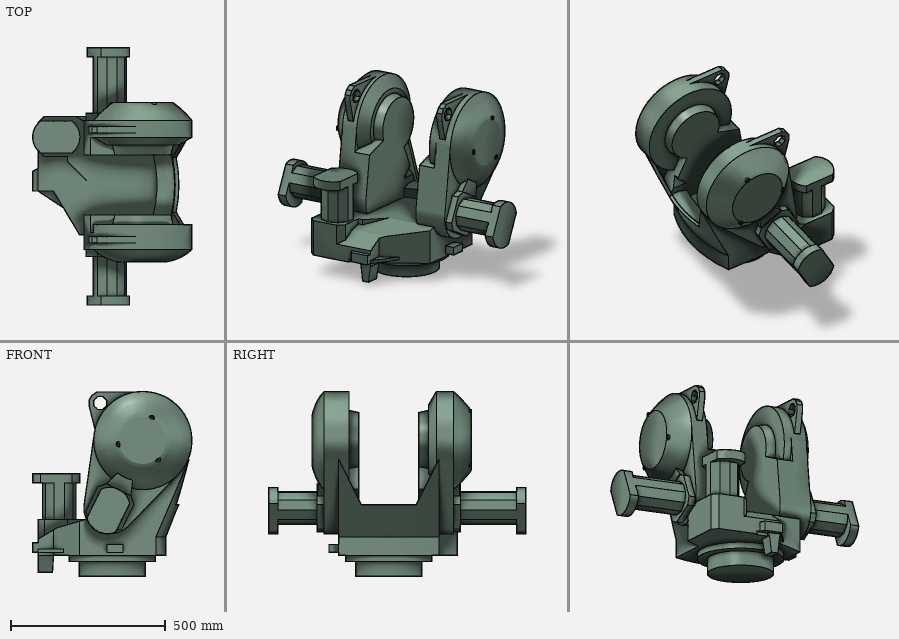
import cadquery as cq
import math


OVERALL_LENGTH = 515.81
OVERALL_HEIGHT = 598.74
BEYOND = 500.0

SPIGOT_RADIUS = 107.0
FLANGE_RADIUS = 139.5
FLANGE_BOTTOM = 48.0

BODY_BOTTOM = 68.0
BODY_TOP = 185.0
BODY_HALF_WIDTH = 162.0
BODY_LEFT = -240.0
BODY_FRONT_LEFT = -106.0
NOSE_FRONT = -20.0
NOSE_RIGHT = -190.0
NOSE_EDGE_X = -84.0
NOSE_EDGE_Y = 15.0
NOSE_BEND_X = -180.0
NOSE_BEND_Z = 157.0
NOSE_END_Z = 121.0
NOSE_STEP_Y = 75.0

BEVEL_START_X = -120.0
BEVEL_END_X = -15.0
FAR_CORNER_X = -60.0

REAR_AXIS_X = -240.0
REAR_RADIUS = 414.0
REAR_LEAN_BOTTOM = 127.0
REAR_LEAN = 0.4
REAR_WALL_TOP = 232.0
REAR_WALL_THICKNESS = 12.0
STEP_RADIUS = 385.0
STEP_TOP = 216.0
LEDGE_RADIUS = 417.0
LEDGE_TOP = 226.0
NOTCH_HALF_WIDTH = 88.5
NOTCH_SLOPE = 2.0

ARM_INNER = 97.0
ARM_STEP = 154.0
ARM_OUTER = 209.0
SHOULDER_X = -8.0
SHOULDER_Z = 222.0
SHOULDER_RADIUS = 84.0
DOME_RADIUS = 159.0
DOME_X = OVERALL_LENGTH / 2 - DOME_RADIUS
DOME_Z = OVERALL_HEIGHT - DOME_RADIUS
ARM_LENGTH = math.hypot(DOME_X - SHOULDER_X, DOME_Z - SHOULDER_Z)
ARM_ANGLE = math.degrees(math.atan2(DOME_Z - SHOULDER_Z, DOME_X - SHOULDER_X))
SHELF_ALONG = 115.0
SHELF_RUN = 80.0
REAR_SHELF_FOOT_X = 197.0
REAR_SHELF_SLOPE = 2.0
REAR_SHELF_RISE = 150.0

HUB_FACE_RADIUS = 91.0
HUB_BASE_RADIUS = 98.0
HUB_BASE = 128.5
FAR_CONE_RADIUS = 115.0
NEAR_DOME_END = 249.0
NEAR_CAP_RADIUS = 76.5
NEAR_BULGE = (126.0, 233.0)
FAR_DOME_END = 267.5
FAR_CAP_RADIUS = 96.0
FAR_BULGE = (132.0, 238.5)
SCREW_COUNT = 3
SCREW_START_ANGLE = 68.6
SCREW_OUTSET = 2.0
SCREW_BOSS_RADIUS = 8.5
SCREW_BOSS_DEPTH = 25.0
SCREW_HOLE_RADIUS = 4.0
SCREW_HOLE_DEPTH = 10.0

LUG_THICKNESS = 20.5
LUG_CENTRES = (-177.25, 178.75)
LUG_EYE_X = -39.0
LUG_EYE_Z = 561.0
LUG_EYE_SIDES = 8
LUG_EYE_HALF_WIDTH = 20.5
LUG_OUTLINE = [
    (DOME_X, DOME_Z),
    (-57, 479),
    (-75, 551),
    (-75, 571),
    (-66, 586),
    (-49, 597),
    (77, 597),
]

MOTOR_SIDES = 10
MOTOR_BODY_RADIUS = 54.4
CAP_HALF_LENGTH = 76.5
CAP_HALF_WIDTH = MOTOR_BODY_RADIUS * math.cos(math.pi / MOTOR_SIDES)
CAP_FLAT_HALF = 51.0
CAP_SHIFT = 10.0
CAP_THICKNESS = 30.0
MOUNT_HALF = 65.0
MOUNT_CHAMFER = 21.0
MOUNT_OUTER = 232.0
TAB_OUTER = 229.0
TAB_END = 118.0
TAB_END_HALF = 25.0
NEAR_MOTOR_END = 389.0
FAR_MOTOR_END = 444.0

TOWER_MOTOR_X = CAP_HALF_LENGTH + CAP_SHIFT - OVERALL_LENGTH / 2
TOWER_MOTOR_Y = 155.0
TOWER_MOTOR_TOP = 333.0
TOWER_FRONT = 92.0
TOWER_BACK = 222.0
TOWER_RIGHT = -144.0
TOWER_CHAMFER = 20.0

PLUG_LEFT = -OVERALL_LENGTH / 2
PLUG_BOTTOM = 78.0
PLUG_TOP = 109.0
PLUG_BACK = 54.0
PLUG_CHAMFER = 10.0
FIN_TIP = (-157.0, -75.0)
FIN_TOP = 88.0
RECESS_BACK = 64.0
RECESS_DEPTH = 10.0
LEG_TOP_HALF = 20.0
LEG_FOOT_HALF = 11.5
LEG_FOOT_Z = 13.0
LEG_TOP_RIGHT = -189.0
LEG_FOOT_RIGHT = -193.0
STOP_X = (-17.0, 34.0)
STOP_Z = (78.0, 104.0)
STOP_FRONT = -194.0


def plate(points, y0, y1):
    """Prism over an XZ outline, from y0 to y1."""
    return cq.Workplane("XZ", origin=(0, y0, 0)).polyline(points).close().extrude(y0 - y1)


def prism(points, z0, z1):
    """Prism over an XY outline, from z0 to z1."""
    return cq.Workplane("XY", origin=(0, 0, z0)).polyline(points).close().extrude(z1 - z0)


def disc(x, z, radius, y0, y1):
    """Cylinder along Y, from y0 to y1."""
    return cq.Workplane("XZ", origin=(x, y0, z)).circle(radius).extrude(y0 - y1)


def box(x, y, z):
    """Box from (min, max) pairs."""
    block = cq.Workplane("XY").box(x[1] - x[0], y[1] - y[0], z[1] - z[0], centered=False)
    return block.translate((x[0], y[0], z[0]))


def rear_turned(profile):
    """Solid turned from a (radius, z) outline about the rear wall axis."""
    turned = cq.Workplane("XZ").polyline(profile).close().revolve(360, (0, 0), (0, 1))
    return turned.translate((REAR_AXIS_X, 0, 0))


def rear_radius(z):
    """Radius of the leaning rear face at height z."""
    return REAR_RADIUS + REAR_LEAN * (z - REAR_LEAN_BOTTOM)


def arm_point(along, across):
    """XZ point measured along the arm axis from the shoulder, and across it to the right."""
    c = math.cos(math.radians(ARM_ANGLE))
    s = math.sin(math.radians(ARM_ANGLE))
    return (SHOULDER_X + along * c + across * s, SHOULDER_Z + along * s - across * c)


def arm_tangents():
    """Tangent points of the arm edges: shoulder left, shoulder right, dome right, dome left."""
    sine = (DOME_RADIUS - SHOULDER_RADIUS) / ARM_LENGTH
    cosine = math.sqrt(1 - sine**2)
    shoulder = (-SHOULDER_RADIUS * sine, SHOULDER_RADIUS * cosine)
    dome = (ARM_LENGTH - DOME_RADIUS * sine, DOME_RADIUS * cosine)
    return [
        arm_point(shoulder[0], -shoulder[1]),
        arm_point(*shoulder),
        arm_point(*dome),
        arm_point(dome[0], -dome[1]),
    ]


def front_shelf():
    """End points of the shelf on the arm's left edge, which runs at 45 degrees into the hub."""
    sine = (DOME_RADIUS - SHOULDER_RADIUS) / ARM_LENGTH
    across = (SHOULDER_RADIUS + sine * SHELF_ALONG) / math.sqrt(1 - sine**2)
    return arm_point(SHELF_ALONG, -across), arm_point(SHELF_ALONG + SHELF_RUN, SHELF_RUN - across)


def rear_shelf():
    """Points on the steep rear shelf line: foot on the ledge, arm edge crossing, end in the hub."""
    _, (x1, z1), (x2, z2), _ = arm_tangents()
    edge_slope = (z2 - z1) / (x2 - x1)
    crossing_rise = z1 + edge_slope * (REAR_SHELF_FOOT_X - x1) - LEDGE_TOP
    crossing_run = crossing_rise / (REAR_SHELF_SLOPE + edge_slope)
    points = []
    for run in (0, crossing_run, REAR_SHELF_RISE / REAR_SHELF_SLOPE):
        points.append((REAR_SHELF_FOOT_X - run, LEDGE_TOP + REAR_SHELF_SLOPE * run))
    return points


def base():
    spigot = cq.Workplane("XY").circle(SPIGOT_RADIUS).extrude(BODY_BOTTOM)
    flange = cq.Workplane("XY", origin=(0, 0, FLANGE_BOTTOM)).circle(FLANGE_RADIUS)
    return spigot.union(flange.extrude(BODY_BOTTOM - FLANGE_BOTTOM))


def body():
    """Body block with the rear wall and the gussets that run up behind the arms."""
    plan = [
        (BODY_FRONT_LEFT, -BODY_HALF_WIDTH),
        (BEYOND, -BODY_HALF_WIDTH),
        (BEYOND, BODY_HALF_WIDTH),
        (BEVEL_END_X, BODY_HALF_WIDTH),
        (FAR_CORNER_X, TOWER_BACK),
        (BODY_LEFT + TOWER_CHAMFER, TOWER_BACK),
        (BODY_LEFT, TOWER_BACK - TOWER_CHAMFER),
        (BODY_LEFT, NOSE_FRONT),
        (NOSE_RIGHT, NOSE_FRONT),
    ]
    _, (x1, z1), (x2, z2), _ = arm_tangents()
    arm_edge_x = x1 + (x2 - x1) * (BODY_TOP - z1) / (z2 - z1)
    side = [
        (-BEYOND, BODY_BOTTOM),
        (BEYOND, BODY_BOTTOM),
        (BEYOND, DOME_Z),
        (DOME_X, DOME_Z),
        (x2, z2),
        (arm_edge_x, BODY_TOP),
        (-BEYOND, BODY_TOP),
    ]
    rear = [
        (0, BODY_BOTTOM),
        (REAR_RADIUS, BODY_BOTTOM),
        (REAR_RADIUS, REAR_LEAN_BOTTOM),
        (rear_radius(DOME_Z), DOME_Z),
        (0, DOME_Z),
    ]
    block = prism(plan, BODY_BOTTOM, DOME_Z)
    block = block.intersect(plate(side, -BEYOND, BEYOND)).intersect(rear_turned(rear))
    return block.cut(nose_slope()).cut(corner_bevel()).cut(wall_notch()).cut(fork_gap())


def nose_slope():
    """Space above the two sloping faces at the left of the body, in front of the tower."""
    plan = [
        (BODY_LEFT, TOWER_FRONT + TOWER_CHAMFER),
        (BODY_LEFT + TOWER_CHAMFER, TOWER_FRONT),
        (TOWER_RIGHT, TOWER_FRONT),
        (TOWER_RIGHT, NOSE_STEP_Y),
        (NOSE_EDGE_X, NOSE_EDGE_Y),
        (NOSE_EDGE_X, -BEYOND),
        (-BEYOND, -BEYOND),
        (-BEYOND, TOWER_FRONT + TOWER_CHAMFER),
    ]
    profile = [
        (NOSE_EDGE_X, BODY_TOP),
        (NOSE_BEND_X, NOSE_BEND_Z),
        (BODY_LEFT, NOSE_END_Z),
        (BODY_LEFT, BODY_TOP),
    ]
    return prism(plan, BODY_BOTTOM, BODY_TOP).intersect(plate(profile, -BEYOND, BEYOND))


def corner_bevel():
    """45 degree bevel on the far side of the body, falling away from a slanted top edge."""
    run_x = BEVEL_END_X - BEVEL_START_X
    run_y = BODY_HALF_WIDTH - TOWER_BACK
    plane = cq.Plane(
        origin=(BEVEL_START_X, TOWER_BACK, BODY_TOP),
        xDir=(-run_y, run_x, 0),
        normal=(run_x, run_y, 0),
    )
    drop = BODY_TOP - BODY_BOTTOM
    wedge = cq.Workplane(plane).polyline([(0, 0), (drop, -drop), (drop, 0)]).close()
    return wedge.extrude(math.hypot(run_x, run_y))


def wall_notch():
    """Flared opening above the rear wall, between the two gussets."""
    rise = DOME_Z - REAR_WALL_TOP
    top_half = NOTCH_HALF_WIDTH + rise / NOTCH_SLOPE
    points = [
        (-NOTCH_HALF_WIDTH, REAR_WALL_TOP),
        (NOTCH_HALF_WIDTH, REAR_WALL_TOP),
        (top_half, DOME_Z),
        (-top_half, DOME_Z),
    ]
    return cq.Workplane("YZ").polyline(points).close().extrude(BEYOND)


def fork_gap():
    """Space in front of the rear wall, above the step and ledge at its foot.

    Behind the arms it widens above the rear shelves, which run down to the ledge.
    """
    profile = [
        (0, BODY_TOP),
        (STEP_RADIUS, BODY_TOP),
        (STEP_RADIUS, STEP_TOP),
        (LEDGE_RADIUS, LEDGE_TOP),
        (rear_radius(LEDGE_TOP) - REAR_WALL_THICKNESS, LEDGE_TOP),
        (rear_radius(DOME_Z) - REAR_WALL_THICKNESS, DOME_Z),
        (0, DOME_Z),
    ]
    between = box((-BEYOND, BEYOND), (-ARM_INNER, ARM_INNER), (BODY_TOP, DOME_Z))
    foot, _, (end_x, end_z) = rear_shelf()
    behind_shelf = [
        (end_x, end_z),
        foot,
        (BEYOND, LEDGE_TOP),
        (BEYOND, DOME_Z),
        (end_x, DOME_Z),
    ]
    behind_arms = plate(behind_shelf, -ARM_STEP, ARM_STEP)
    return rear_turned(profile).intersect(between.union(behind_arms))


def arm_slab(outline, y0, y1):
    """Slab over an arm outline, rounded off by the shoulder circle."""
    return plate(outline, y0, y1).union(disc(SHOULDER_X, SHOULDER_Z, SHOULDER_RADIUS, y0, y1))


def arm(side):
    """Outer slab reaching the dome, and an inner slab narrowing to the hub above two shelves."""
    tangents = arm_tangents()
    shoulder_left, shoulder_right, _, _ = tangents
    front_start, front_end = front_shelf()
    _, rear_start, rear_end = rear_shelf()
    inner_outline = [shoulder_left, shoulder_right, rear_start, rear_end, front_end, front_start]
    outer = arm_slab(tangents, side * ARM_STEP, side * ARM_OUTER)
    return outer.union(arm_slab(inner_outline, side * ARM_INNER, side * ARM_STEP))


def dome(side, inner_outline, bulge, cap_radius, end):
    """Hub and dome turned about the arm's upper axis, with screw bosses around the end cap."""
    outline = cq.Workplane("XY").moveTo(0, ARM_INNER).lineTo(HUB_FACE_RADIUS, ARM_INNER)
    for point in inner_outline:
        outline = outline.lineTo(*point)
    outline = outline.lineTo(DOME_RADIUS, ARM_OUTER).threePointArc(bulge, (cap_radius, end))
    shell = outline.lineTo(0, end).close().revolve(360, (0, 0), (0, 1))
    if side < 0:
        shell = shell.mirror("XZ")
    shell = shell.translate((DOME_X, 0, DOME_Z))
    for i in range(SCREW_COUNT):
        angle = math.radians(SCREW_START_ANGLE + i * 360 / SCREW_COUNT)
        x = DOME_X + (cap_radius + SCREW_OUTSET) * math.cos(angle)
        z = DOME_Z + (cap_radius + SCREW_OUTSET) * math.sin(angle)
        shell = shell.union(disc(x, z, SCREW_BOSS_RADIUS, side * (end - SCREW_BOSS_DEPTH), side * end))
        shell = shell.cut(disc(x, z, SCREW_HOLE_RADIUS, side * (end - SCREW_HOLE_DEPTH), side * end))
    return shell


def near_dome():
    inner_outline = [(HUB_BASE_RADIUS, HUB_BASE), (DOME_RADIUS, HUB_BASE)]
    return dome(-1, inner_outline, NEAR_BULGE, NEAR_CAP_RADIUS, NEAR_DOME_END)


def far_dome():
    inner_outline = [
        (HUB_BASE_RADIUS, HUB_BASE),
        (FAR_CONE_RADIUS, HUB_BASE),
        (DOME_RADIUS, ARM_STEP),
    ]
    return dome(1, inner_outline, FAR_BULGE, FAR_CAP_RADIUS, FAR_DOME_END)


def lug(y):
    """Lifting lug plate centred on y, and the cutter for its eye, an octagon with a level lower flat."""
    y0 = y - LUG_THICKNESS / 2
    y1 = y + LUG_THICKNESS / 2
    half_step = math.pi / LUG_EYE_SIDES
    corner_radius = LUG_EYE_HALF_WIDTH / math.cos(half_step)
    eye = []
    for i in range(LUG_EYE_SIDES):
        angle = half_step * (2 * i + 1)
        x = LUG_EYE_X + corner_radius * math.cos(angle)
        z = LUG_EYE_Z + corner_radius * math.sin(angle)
        eye.append((x, z))
    return plate(LUG_OUTLINE, y0, y1), plate(eye, y0, y1)


def motor(length):
    """Motor standing on Z = 0; its cap has flat sides along X, bowed ends and a shift towards -X."""
    cap_bottom = length - CAP_THICKNESS
    column = cq.Workplane("XY").polygon(MOTOR_SIDES, 2 * MOTOR_BODY_RADIUS).extrude(cap_bottom)
    cap = (
        cq.Workplane("XY", origin=(-CAP_SHIFT, 0, cap_bottom))
        .moveTo(-CAP_FLAT_HALF, -CAP_HALF_WIDTH)
        .lineTo(CAP_FLAT_HALF, -CAP_HALF_WIDTH)
        .threePointArc((CAP_HALF_LENGTH, 0), (CAP_FLAT_HALF, CAP_HALF_WIDTH))
        .lineTo(-CAP_FLAT_HALF, CAP_HALF_WIDTH)
        .threePointArc((-CAP_HALF_LENGTH, 0), (-CAP_FLAT_HALF, -CAP_HALF_WIDTH))
        .close()
        .extrude(CAP_THICKNESS)
    )
    return column.union(cap)


def arm_motor(side, end):
    """Shoulder motor on its chamfered mount, with a tapered tab pointing at the dome."""
    h = MOUNT_HALF
    c = MOUNT_HALF - MOUNT_CHAMFER
    octagon = [(-h, -c), (-h, c), (-c, h), (c, h), (h, c), (h, -c), (c, -h), (-c, -h)]
    tab = [(0, -c), (h, -c), (TAB_END, -TAB_END_HALF), (TAB_END, TAB_END_HALF), (h, c), (0, c)]
    mount = plate([arm_point(*p) for p in octagon], side * ARM_OUTER, side * MOUNT_OUTER)
    mount = mount.union(plate([arm_point(*p) for p in tab], side * ARM_OUTER, side * TAB_OUTER))
    drive = motor(end - ARM_OUTER).rotate((0, 0, 0), (1, 0, 0), 90)
    if side > 0:
        drive = drive.mirror("XZ")
    drive = drive.rotate((0, 0, 0), (0, 1, 0), -ARM_ANGLE)
    return mount.union(drive.translate((SHOULDER_X, side * ARM_OUTER, SHOULDER_Z)))


def tower_motor():
    return motor(TOWER_MOTOR_TOP - BODY_TOP).translate((TOWER_MOTOR_X, TOWER_MOTOR_Y, BODY_TOP))


def plug():
    """Connector block on the left face of the nose, one corner chamfered."""
    outline = [
        (PLUG_LEFT, NOSE_FRONT),
        (PLUG_LEFT, PLUG_BACK - PLUG_CHAMFER),
        (BODY_LEFT, PLUG_BACK),
        (NOSE_RIGHT, PLUG_BACK),
        (NOSE_RIGHT, NOSE_FRONT),
    ]
    return prism(outline, PLUG_BOTTOM, PLUG_TOP)


def fin():
    """Thin triangular plate in the corner in front of the nose."""
    outline = [(BODY_LEFT, NOSE_FRONT), FIN_TIP, (NOSE_RIGHT, 0)]
    return prism(outline, PLUG_BOTTOM, FIN_TOP)


def leg():
    """Tapered leg hanging under the nose."""
    end_outline = [
        (-LEG_TOP_HALF, PLUG_BOTTOM),
        (LEG_TOP_HALF, PLUG_BOTTOM),
        (LEG_FOOT_HALF, LEG_FOOT_Z),
        (-LEG_FOOT_HALF, LEG_FOOT_Z),
    ]
    side_outline = [
        (BODY_LEFT, PLUG_BOTTOM),
        (LEG_TOP_RIGHT, PLUG_BOTTOM),
        (LEG_FOOT_RIGHT, LEG_FOOT_Z),
        (BODY_LEFT, LEG_FOOT_Z),
    ]
    taper = cq.Workplane("YZ", origin=(-BEYOND, 0, 0)).polyline(end_outline).close().extrude(BEYOND)
    return taper.intersect(plate(side_outline, -BEYOND, BEYOND))


def stop_block():
    return box(STOP_X, (STOP_FRONT, -BODY_HALF_WIDTH), STOP_Z)


def recess():
    """Shallow recess in the lower left edge of the body, under the plug."""
    depth = (BODY_LEFT, BODY_LEFT + RECESS_DEPTH)
    return box(depth, (LEG_TOP_HALF, RECESS_BACK), (BODY_BOTTOM, PLUG_BOTTOM))


result = base().union(body())
for arm_side in (-1, 1):
    result = result.union(arm(arm_side))
result = result.union(near_dome()).union(far_dome())
for lug_y in LUG_CENTRES:
    lug_plate, lug_eye = lug(lug_y)
    result = result.union(lug_plate).cut(lug_eye)
result = result.union(arm_motor(-1, NEAR_MOTOR_END)).union(arm_motor(1, FAR_MOTOR_END))
result = result.union(tower_motor()).cut(recess())
for fitting in (plug(), fin(), leg(), stop_block()):
    result = result.union(fitting)